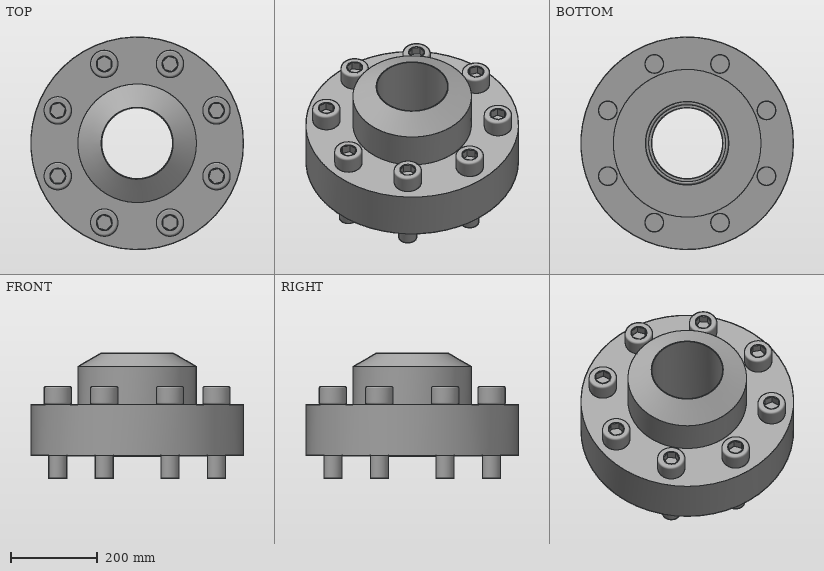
import cadquery as cq
import math

FLANGE_DIAMETER = 490.0
FLANGE_THICKNESS = 116.5
BORE_DIAMETER = 163.0
RAISED_FACE_DIAMETER = 340.0
RAISED_FACE_HEIGHT = 1.5

HUB_DIAMETER = 273.0
HUB_HEIGHT = 119.0
LAND_WIDTH = 1.5
BEVEL_ANGLE = 30

RING_INNER_DIAMETER = 177.0
RING_SECTION_DIAMETER = 7.0
RING_PROTRUSION = 1.5
GROOVE_OUTER_DIAMETER = 192.5

SCREW_COUNT = 8
SCREW_CIRCLE_RADIUS = 198.0
SCREW_DIAMETER = 42.0
SCREW_HOLE_DIAMETER = 43.0
SCREW_PROTRUSION = 53.5
HEAD_DIAMETER = 63.0
HEAD_HEIGHT = SCREW_DIAMETER
HEAD_EDGE_RADIUS = 4.5
SOCKET_DEPTH = HEAD_HEIGHT / 2
SOCKET_RIM_DIAMETER = 36.5
SOCKET_RIM_ANGLE = 30

SCREW_SPACING = 360 / SCREW_COUNT
FIRST_SCREW_ANGLE = SCREW_SPACING / 2


def make_flange():
    """Hubbed flange with bore, raised face, O-ring groove and screw holes."""
    bore_radius = BORE_DIAMETER / 2
    land_radius = bore_radius + LAND_WIDTH
    hub_radius = HUB_DIAMETER / 2
    flange_radius = FLANGE_DIAMETER / 2
    face_radius = RAISED_FACE_DIAMETER / 2
    hub_top = FLANGE_THICKNESS + HUB_HEIGHT
    bevel_height = (hub_radius - land_radius) * math.tan(math.radians(BEVEL_ANGLE))

    body = (
        cq.Workplane("XZ")
        .moveTo(bore_radius, -RAISED_FACE_HEIGHT)
        .lineTo(face_radius, -RAISED_FACE_HEIGHT)
        .lineTo(face_radius, 0)
        .lineTo(flange_radius, 0)
        .lineTo(flange_radius, FLANGE_THICKNESS)
        .lineTo(hub_radius, FLANGE_THICKNESS)
        .lineTo(hub_radius, hub_top - bevel_height)
        .lineTo(land_radius, hub_top)
        .lineTo(bore_radius, hub_top)
        .close()
        .revolve(360, (0, 0, 0), (0, 1, 0))
    )

    groove = (
        cq.Workplane("XY")
        .workplane(offset=-RAISED_FACE_HEIGHT)
        .circle(GROOVE_OUTER_DIAMETER / 2)
        .circle(RING_INNER_DIAMETER / 2)
        .extrude(RING_SECTION_DIAMETER - RING_PROTRUSION)
    )

    screw_holes = (
        cq.Workplane("XY")
        .workplane(offset=-RAISED_FACE_HEIGHT)
        .polarArray(SCREW_CIRCLE_RADIUS, FIRST_SCREW_ANGLE, 360, SCREW_COUNT)
        .circle(SCREW_HOLE_DIAMETER / 2)
        .extrude(RAISED_FACE_HEIGHT + FLANGE_THICKNESS)
    )
    return body.cut(groove).cut(screw_holes)


def make_o_ring():
    """O-ring seated on the groove floor and standing proud of the raised face."""
    section_radius = RING_SECTION_DIAMETER / 2
    centre_radius = RING_INNER_DIAMETER / 2 + section_radius
    centre_height = section_radius - RAISED_FACE_HEIGHT - RING_PROTRUSION
    return (
        cq.Workplane("XZ")
        .center(centre_radius, centre_height)
        .circle(section_radius)
        .revolve(360, (-centre_radius, 0, 0), (-centre_radius, 1, 0))
    )


def make_screw(angle):
    """Socket head screw at the given angle, its head resting on the flange."""
    head_top = FLANGE_THICKNESS + HEAD_HEIGHT
    head = (
        cq.Workplane("XY")
        .workplane(offset=FLANGE_THICKNESS)
        .circle(HEAD_DIAMETER / 2)
        .extrude(HEAD_HEIGHT)
        .edges()
        .fillet(HEAD_EDGE_RADIUS)
    )
    shank = (
        cq.Workplane("XY")
        .workplane(offset=-SCREW_PROTRUSION)
        .circle(SCREW_DIAMETER / 2)
        .extrude(SCREW_PROTRUSION + FLANGE_THICKNESS)
    )
    socket = (
        cq.Workplane("XY")
        .workplane(offset=head_top)
        .polygon(6, SOCKET_RIM_DIAMETER)
        .extrude(-SOCKET_DEPTH)
        .rotate((0, 0, 0), (0, 0, 1), -FIRST_SCREW_ANGLE)
    )
    rim_radius = SOCKET_RIM_DIAMETER / 2
    cone_depth = rim_radius * math.tan(math.radians(SOCKET_RIM_ANGLE))
    lead_in = (
        cq.Workplane("XZ")
        .moveTo(0, head_top)
        .lineTo(rim_radius, head_top)
        .lineTo(0, head_top - cone_depth)
        .close()
        .revolve(360, (0, 0, 0), (0, 1, 0))
    )
    return (
        head.union(shank)
        .cut(socket)
        .cut(lead_in)
        .translate((SCREW_CIRCLE_RADIUS, 0, 0))
        .rotate((0, 0, 0), (0, 0, 1), angle)
    )


flange = make_flange()
o_ring = make_o_ring()
screws = [make_screw(FIRST_SCREW_ANGLE + i * SCREW_SPACING) for i in range(SCREW_COUNT)]

result = cq.Compound.makeCompound([flange.val(), o_ring.val(), *[screw.val() for screw in screws]])